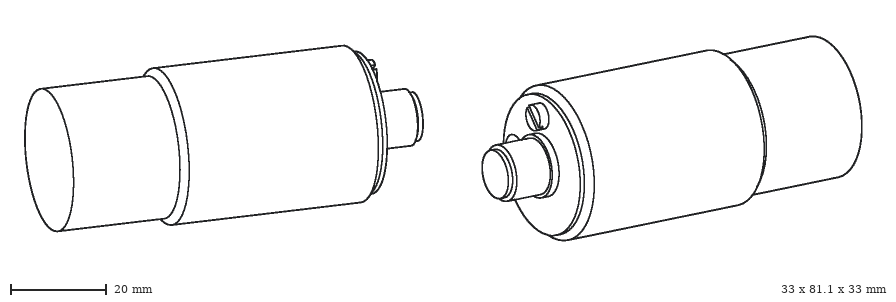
import cadquery as cq
import math

total_length = 81.1
nose_length = 23.6
rear_bevel_start = 67.1
rear_face = 69.6
flange_height = 1.7
connector_tip_length = 1.05
connector_bevel_length = 0.5

nose_diameter = 30.0
body_diameter = 33.0
body_bevel = (body_diameter - nose_diameter) / 2
flange_diameter = 13.5
connector_diameter = 12.0
connector_tip_diameter = 10.3

screw_diameter = 5.5
screw_height = 2.2
screw_offset = 10.8
slot_width = 1.0
slot_depth = 1.0
slot_angle = 45.0

dome_diameter = 7.0
dome_height = 0.7
dome_offset = 10.6


def make_turned_body():
    """Revolve the nose, bevelled body, flange and connector about the Y axis."""
    nose_radius = nose_diameter / 2
    body_radius = body_diameter / 2
    flange_radius = flange_diameter / 2
    connector_radius = connector_diameter / 2
    tip_radius = connector_tip_diameter / 2
    flange_end = rear_face + flange_height
    tip_start = total_length - connector_tip_length
    profile = [
        (0, 0),
        (nose_radius, 0),
        (nose_radius, nose_length),
        (body_radius, nose_length + body_bevel),
        (body_radius, rear_bevel_start),
        (nose_radius, rear_bevel_start + body_bevel),
        (nose_radius, rear_face),
        (flange_radius, rear_face),
        (flange_radius, flange_end),
        (connector_radius, flange_end),
        (connector_radius, tip_start - connector_bevel_length),
        (tip_radius, tip_start),
        (tip_radius, total_length),
        (0, total_length),
    ]
    return cq.Workplane("XY").polyline(profile).close().revolve(360, (0, 0, 0), (0, 1, 0))


def make_screw():
    """Screw head standing on the rear face, with a diagonal slot across it."""
    head = cq.Workplane("XY").circle(screw_diameter / 2).extrude(screw_height)
    slot = (
        cq.Workplane("XY")
        .box(2 * screw_diameter, slot_width, slot_depth, centered=(True, True, False))
        .rotate((0, 0, 0), (0, 0, 1), -slot_angle)
        .translate((0, 0, screw_height - slot_depth))
    )
    return (
        head.cut(slot)
        .rotate((0, 0, 0), (1, 0, 0), -90)
        .translate((0, rear_face, screw_offset))
    )


def make_dome():
    """Shallow spherical cap on the rear face."""
    base_radius = dome_diameter / 2
    sphere_radius = (base_radius**2 + dome_height**2) / (2 * dome_height)
    half_angle = math.asin(base_radius / sphere_radius) / 2
    arc_middle = (
        sphere_radius * math.sin(half_angle),
        dome_height - sphere_radius * (1 - math.cos(half_angle)),
    )
    return (
        cq.Workplane("XY")
        .moveTo(0, 0)
        .lineTo(base_radius, 0)
        .threePointArc(arc_middle, (0, dome_height))
        .close()
        .revolve(360, (0, 0, 0), (0, 1, 0))
        .translate((dome_offset, rear_face, 0))
    )


result = make_turned_body().union(make_screw()).union(make_dome())